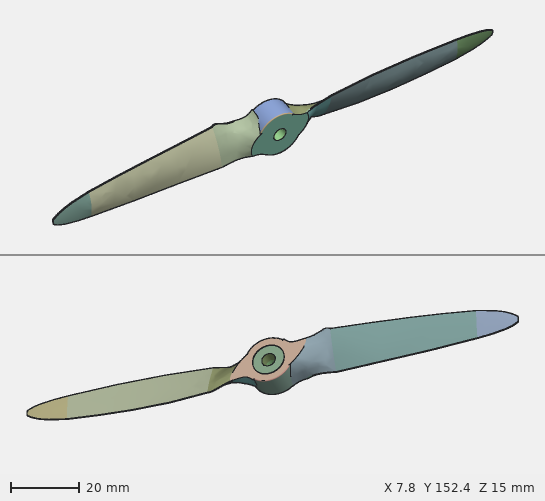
import math

import cadquery as cq

span = 152.4
tip_radius = span / 2
hub_diameter = 15.0
hub_thickness = 7.8
bore_diameter = 4.2
hub_rim_round = 0.3

seat_diameter = 9.8
seat_depth = 0.2

pitch = 54.0
edge_half_thickness = 0.22

root_end = (tip_radius / 4, 4.8, -7.0, 1.1, 0.6)
tip_start = (tip_radius * 5 / 6, 3.6, -5.15, 1.2, 0.45)
root_stations = [
    (4.4, 5.6, -5.6, 8.0, 8.0),
    (6.0, 4.75, -4.9, 7.0, 7.0),
    (7.8, 4.25, -4.55, 5.3, 5.3),
    (10.2, 4.0, -4.75, 3.4, 3.6),
    (13.0, 4.0, -5.3, 1.9, 2.4),
    (16.0, 4.3, -6.5, 1.4, 1.2),
    root_end,
]
middle_stations = [
    root_end,
    (tip_radius * 4 / 9, 4.8, -7.1, 1.4, 0.5),
    (tip_radius * 23 / 36, 4.45, -6.45, 1.4, 0.45),
    tip_start,
]
tip_stations = [
    tip_start,
    (67.0, 3.3, -4.5, 0.9, 0.5),
    (70.5, 2.8, -3.65, 0.7, 0.5),
    (73.5, 2.1, -2.5, 0.5, 0.45),
    (tip_radius, 0.8, -0.8, 0.25, 0.25),
]


def blade_section(radius, upper_z, lower_z, front_bulge, back_bulge):
    """Closed lens-shaped section in the plane Y = radius, leaning at the helix angle."""
    lean = pitch / (2 * math.pi * radius)
    upper_x = upper_z * lean
    lower_x = lower_z * lean

    def point(x, z):
        return cq.Vector(x, radius, z)

    upper_front = point(upper_x + edge_half_thickness, upper_z)
    upper_back = point(upper_x - edge_half_thickness, upper_z)
    lower_front = point(lower_x + edge_half_thickness, lower_z)
    lower_back = point(lower_x - edge_half_thickness, lower_z)
    return cq.Wire.assembleEdges([
        cq.Edge.makeSpline([upper_front, point(front_bulge, 0), lower_front]),
        cq.Edge.makeLine(lower_front, lower_back),
        cq.Edge.makeSpline([lower_back, point(-back_bulge, 0), upper_back]),
        cq.Edge.makeLine(upper_back, upper_front),
    ])


def make_blade():
    """+Y blade, its thick root trimmed flush with the two hub faces."""
    blade = cq.Workplane()
    for stations in (root_stations, middle_stations, tip_stations):
        sections = [blade_section(*station) for station in stations]
        blade = blade.add(cq.Solid.makeLoft(sections))
    blade = blade.combine(clean=False)
    hub_slab = cq.Workplane("XY").box(hub_thickness, 2 * span, 2 * hub_diameter)
    return blade.intersect(hub_slab)


def make_hub():
    """Round hub centred on the origin, with softened rims."""
    hub = cq.Workplane("YZ").circle(hub_diameter / 2).extrude(hub_thickness / 2, both=True)
    return hub.edges("%CIRCLE").fillet(hub_rim_round)


def make_seat():
    seat_face = cq.Workplane("YZ", origin=(-hub_thickness / 2, 0, 0))
    return seat_face.circle(seat_diameter / 2).extrude(seat_depth)


def make_bore():
    return cq.Workplane("YZ").circle(bore_diameter / 2).extrude(hub_thickness, both=True)


blade = make_blade()
opposite_blade = blade.rotate((0, 0, 0), (1, 0, 0), 180)
propeller = make_hub().union(blade).union(opposite_blade)
result = propeller.cut(make_seat()).cut(make_bore())